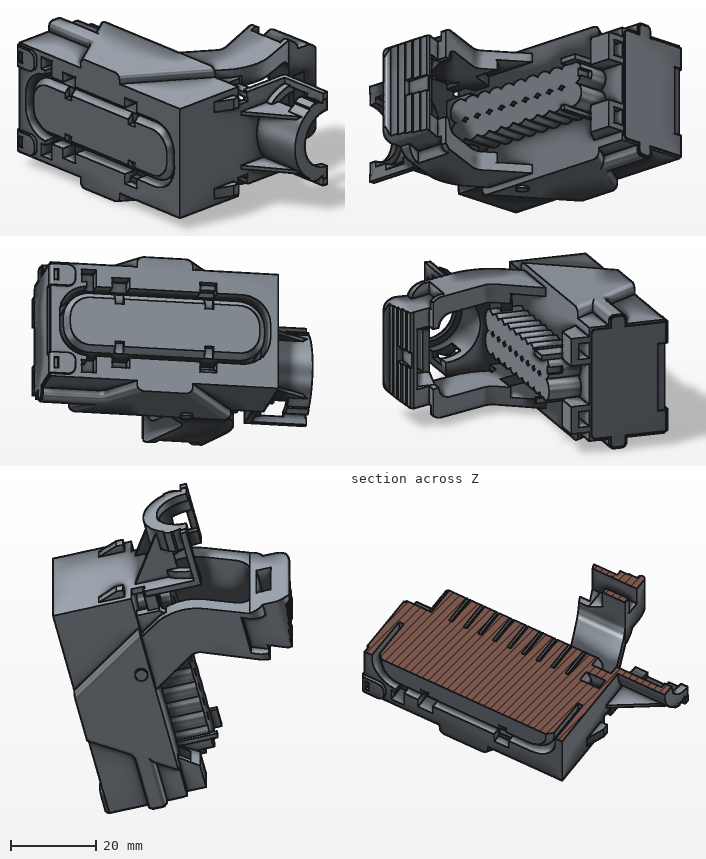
import cadquery as cq
import math


DOOR_T = 0.4
BODY_X1 = 54.95
BODY_Y = 19.0
BODY_HZ = 14.0
COVER_HZ = 16.5
COVER_R = 1.4
COVER_SLOPE = 1.5
COVER_X0, COVER_X1 = 21.15, 34.4
RIB_Y0, RIB_Y1 = 9.6, 14.1
NOTCH_X = 8.3
RIB_BEND_R = 2.7
PIVOT_D, PIVOT_X, PIVOT_Y = 3.0, 36.05, 16.7
PIVOT_END = -17.1

POCKET_CX = 27.8
POCKET_L, POCKET_H, POCKET_R = 50.5, 17.1, 6.95
POCKET_DEPTH = 12.25
ISLAND_L, ISLAND_H, ISLAND_R = 48.15, 14.55, 6.25
ISLAND_CHAMFER = 1.4
ISLAND_NOTCHES = [15.9, 37.4]
ISLAND_NOTCH_W, ISLAND_NOTCH_Z, ISLAND_NOTCH_D = 2.1, 4.6, 1.35
KEYWAY_DEPTH = 4.1
KEYWAY_Z = 11.0
KEYWAY_LEFT = (15.15, 19.3)
KEYWAY_RIGHT = (36.2, 40.2)
KEYWAY_STEP_Z, KEYWAY_STEP_DEPTH = 9.8, 2.05
HOOK_SLOT_X = (7.8, 11.35)
HOOK_SLOT_Z = (9.6, 12.65)
HOOK_NECK_X = 9.1

DOOR_HZ = 13.45
DOOR_Y0, DOOR_Y1 = 1.9, 18.4
DOOR_EAR_Y = (10.05, 13.6)
DOOR_EAR_HZ = 16.1
DOOR_R = 0.9
CLIP_T = 0.8
CLIP_L = 6.25
CLIP_Z = (8.3, 13.4)
CLIP_R = 1.85
CLIP_CORNER_R = 1.0
CLIP_HOLE_X = (1.15, 2.2)
CLIP_HOLE_Z = (9.5, 12.2)

HINGE_Z = (5.0, 11.75)
HINGE_Y = 23.5
HINGE_TOP_X, HINGE_FOOT_X = 6.3, 9.8
HINGE_HOLE_Z = (6.45, 10.35)
HINGE_HOLE_Y = 21.6
WALL_X = (6.3, 10.95)
LOWER_WALL_X = (9.85, 10.95)
WALL_Z = (5.25, 6.45)
WALL_Y = 28.75

WIRE_D = 5.7
WIRE_PITCH = 4.0
WIRE_X0, WIRE_Z = 10.7, 2.65
WIRE_END_X = 8.85
WIRE_Y = 27.0
WIRE_ROW = 10
KEY_X = 7.1
KEY_Y = 23.6
KEY_Z = (1.55, 3.4)

LEVER_HZ = 14.9
LEVER_INNER_HZ = 10.35
LEVER_THIN_HZ, LEVER_THIN_Y = 12.8, 26.0
LEVER_FOOT_Y = 13.6
GRIP_HZ = 11.9
LEVER_BAR_Y0, LEVER_BAR_Y1 = 45.15, 46.8
LEVER_X0, LEVER_X1 = 30.3, 44.9
INNER_ELBOW = [(36.85, 28.55), (37.6, 30.45), (37.25, 32.1)]
OUTER_ELBOW = [(48.55, 35.4), (49.6, 30.6), (48.1, 23.95)]
HOOK = [(31.3, LEVER_BAR_Y1), (34.0, LEVER_BAR_Y1), (32.1, 51.35)]
GRIP_TOP = 54.6
GRIP_STEPS = [(34.15, 52.3), (36.45, 52.55), (38.5, 53.0), (40.7, 53.25), (43.0, 53.45)]
GRIP_X1 = 44.8
GRIP_ROUND = 3.55
SHOULDER_Y0, SHOULDER_Y1 = 43.0, 48.35
FLANK = [(32.9, 46.8), (34.4, 43.0), (44.3, 43.0), (41.95, 48.35), (41.95, 51.7), (29.9, 51.7), (29.9, 46.8)]
INNER_R = 3.25
WINDOW_Y1 = 50.3
WINDOW_HZ, WINDOW_MOUTH_HZ = 5.4, 7.4
WINDOW_MOUTH_X = (34.7, 38.4)
THUMB_X, THUMB_Y, THUMB_HZ = 38.5, 51.8, 1.9

PLATE_X = (53.45, BODY_X1)
BRACKET_HZ = 11.8
PLATE_FOOT_HZ = 9.3
BRACKET_Y = 35.55
BRACKET_X1 = 68.0
RAIL_T = 1.4
RAIL_Z = 10.1
BORE_R, BORE_MOUTH_R = 7.2, 8.65
BORE_SHOULDER_X = 65.95
COLLAR_R = 10.5
PAD_R = 10.8
PAD_Y = (30.0, 31.8)
GROOVE_Z = 9.3
COLLAR_X1 = 67.85
RING_X = 56.8
END_RING_X = 62.6
GUSSET_Z = (6.45, 7.35)
GUSSET_Y0, GUSSET_Y1 = 20.0, 28.3
GUSSET_X1 = 67.3
TROUGH_Y1 = 30.7
PLATE_FOOT_Y = 22.2
BEAM_X, BEAM_Y = 45.55, (21.75, 24.5)
SIDE_BEAM_Z = (10.35, 11.55)
CENTRE_BEAM_HZ = 7.4
POST_FOOT_X, POST_TIP_X, POST_TOP_X, POST_X1 = 45.2, 42.15, 47.95, 49.6
POST_Y = 26.0
POST_Z = (10.35, LEVER_THIN_HZ)
LATCH_X1 = 56.8
LATCH_Z = (9.8, 12.4)
LATCH_Y = (11.15, 15.8, 17.4)

EDGE_TOL = 0.1
OVERLAP = 0.7


def box(x, y, z):
    """Box from three (low, high) ranges."""
    size = [high - low for low, high in (x, y, z)]
    return cq.Workplane("XY").box(*size, centered=False).translate((x[0], y[0], z[0]))


def prism(points, z):
    """Polygon in XY extruded over a Z range."""
    return cq.Workplane("XY").workplane(offset=z[0]).polyline(points).close().extrude(z[1] - z[0])


def both_sides(solid):
    """The solid together with its mirror image in Z."""
    return solid.union(solid.mirror("XY"))


def rounded_rect(length, height, radius, y):
    """Rounded rectangle around the pocket centre in the plane at the given Y."""
    plane = cq.Workplane("XZ", origin=(POCKET_CX, y, 0))
    return plane.sketch().rect(length, height).vertices().fillet(radius).finalize()


def cover():
    """Raised lever cover with slanted edges and a rib to the door end."""
    bend_x = COVER_X0 - RIB_Y0 / COVER_SLOPE
    notch_foot_x = NOTCH_X + (BODY_Y - RIB_Y1) / COVER_SLOPE
    points = [
        (DOOR_T, RIB_Y0),
        (bend_x, RIB_Y0),
        (COVER_X0, 0),
        (COVER_X1, 0),
        (COVER_X1 + BODY_Y / COVER_SLOPE, BODY_Y),
        (NOTCH_X, BODY_Y),
        (notch_foot_x, RIB_Y1),
        (DOOR_T, RIB_Y1),
    ]
    slab = prism(points, (0, COVER_HZ))
    bend_edge = cq.selectors.NearestToPointSelector((bend_x, RIB_Y0, COVER_HZ / 2))
    slab = slab.edges(bend_edge).fillet(RIB_BEND_R)
    rim = slab.faces(">Z").edges().filter(
        lambda e: e.Center().x > DOOR_T + EDGE_TOL and EDGE_TOL < e.Center().y < BODY_Y - EDGE_TOL
    )
    return rim.fillet(COVER_R)


def housing():
    body = box((DOOR_T, BODY_X1), (0, BODY_Y), (-BODY_HZ, BODY_HZ))
    pivot_start = -COVER_HZ + OVERLAP
    pivot = cq.Workplane("XY", origin=(PIVOT_X, PIVOT_Y, pivot_start)).circle(PIVOT_D / 2)
    return body.union(both_sides(cover())).union(pivot.extrude(PIVOT_END - pivot_start))


def pocket():
    """Ring-shaped mating pocket around a chamfered island, with its keyways."""
    hole = rounded_rect(POCKET_L, POCKET_H, POCKET_R, 0).extrude(-POCKET_DEPTH)
    island = rounded_rect(ISLAND_L, ISLAND_H, ISLAND_R, POCKET_DEPTH).extrude(POCKET_DEPTH)
    island = island.faces("<Y").chamfer(ISLAND_CHAMFER)
    for x in ISLAND_NOTCHES:
        notch = box((x, x + ISLAND_NOTCH_W), (0, ISLAND_NOTCH_D), (ISLAND_NOTCH_Z, POCKET_H / 2))
        island = island.cut(both_sides(notch))

    inner_z = POCKET_H / 2 - OVERLAP
    depth = (0, KEYWAY_DEPTH)
    keys = box(KEYWAY_LEFT, depth, (inner_z, KEYWAY_Z))
    keys = keys.union(box(KEYWAY_RIGHT, depth, (inner_z, KEYWAY_STEP_Z)))
    keys = keys.union(box(KEYWAY_RIGHT, (0, KEYWAY_STEP_DEPTH), (inner_z, KEYWAY_Z)))
    keys = keys.union(box(HOOK_SLOT_X, depth, HOOK_SLOT_Z))
    keys = keys.union(box((HOOK_NECK_X, HOOK_SLOT_X[1]), depth, (inner_z, HOOK_SLOT_Z[1])))
    return hole.cut(island).union(both_sides(keys).cut(island))


def door():
    """End door with two ears and two clips gripping the mating face."""
    panel = box((0, DOOR_T), (DOOR_Y0, DOOR_Y1), (-DOOR_HZ, DOOR_HZ))
    ears = box((0, DOOR_T), DOOR_EAR_Y, (-DOOR_EAR_HZ, DOOR_EAR_HZ))
    panel = panel.edges("|X").fillet(DOOR_R).union(ears.edges("|X").fillet(DOOR_R))
    for side in (1, -1):
        strip_z = sorted((side * CLIP_Z[0], side * DOOR_HZ))
        panel = panel.union(box((0, DOOR_T), (0, DOOR_Y0 + DOOR_R), strip_z))

    clip = box((0, CLIP_L), (-CLIP_T, 0), CLIP_Z).edges("|Y and >X").fillet(CLIP_R)
    clip = clip.union(box((0, DOOR_T), (-CLIP_T, DOOR_Y0), CLIP_Z))
    clip = clip.edges("|Z and <X and <Y").fillet(CLIP_CORNER_R)
    clip = clip.cut(box(CLIP_HOLE_X, (-CLIP_T, 0), CLIP_HOLE_Z))
    return panel.union(both_sides(clip))


def hinges():
    """Two hinge boxes with two upright walls on the wire side."""
    y0 = BODY_Y - OVERLAP
    outline = [
        (DOOR_T, y0),
        (HINGE_FOOT_X, y0),
        (HINGE_FOOT_X, BODY_Y),
        (HINGE_TOP_X, HINGE_Y),
        (DOOR_T, HINGE_Y),
    ]
    hinge = prism(outline, HINGE_Z)
    hinge = hinge.cut(box((DOOR_T, HINGE_FOOT_X), (BODY_Y, HINGE_HOLE_Y), HINGE_HOLE_Z))
    upper_wall = box(WALL_X, (y0, WALL_Y), WALL_Z)
    lower_wall = box(LOWER_WALL_X, (y0, WALL_Y), WALL_Z).mirror("XY")
    return both_sides(hinge).union(upper_wall).union(lower_wall)


def wires():
    """Two rows of merged wires with a key notch in the end wire."""
    y0 = BODY_Y - OVERLAP
    row_x = [WIRE_END_X] + [WIRE_X0 + i * WIRE_PITCH for i in range(WIRE_ROW)]
    bundle = cq.Workplane("XY")
    for z in (WIRE_Z, -WIRE_Z):
        for x in row_x:
            wire = cq.Workplane("XZ", origin=(x, y0, z)).circle(WIRE_D / 2)
            bundle = bundle.union(wire.extrude(y0 - WIRE_Y))
    return bundle.cut(box((0, KEY_X), (KEY_Y, WIRE_Y), KEY_Z))


def lever():
    """U-shaped lever: two bent arms, a cross bar and a stepped grip."""
    foot_run = (BODY_Y - LEVER_FOOT_Y) / COVER_SLOPE
    side = (
        cq.Workplane("XY", origin=(0, 0, -LEVER_HZ))
        .moveTo(LEVER_X0 - foot_run, LEVER_FOOT_Y)
        .lineTo(*INNER_ELBOW[0])
        .threePointArc(*INNER_ELBOW[1:])
        .polyline(HOOK + [(HOOK[-1][0], GRIP_STEPS[0][1])], includeCurrent=True)
    )
    step_ends = [x for x, _ in GRIP_STEPS]
    heights = [y for _, y in GRIP_STEPS]
    for x, y, next_y in zip(step_ends, heights, heights[1:]):
        side = side.lineTo(x, y).lineTo(x, next_y)
    tip_r = (GRIP_X1 - step_ends[-1]) / 2
    side = (
        side.lineTo(step_ends[-1], heights[-1])
        .lineTo(step_ends[-1], GRIP_TOP - tip_r)
        .threePointArc((GRIP_X1 - tip_r, GRIP_TOP), (GRIP_X1, GRIP_TOP - tip_r))
        .lineTo(GRIP_X1, LEVER_BAR_Y0)
        .lineTo(*OUTER_ELBOW[0])
        .threePointArc(*OUTER_ELBOW[1:])
        .lineTo(LEVER_X1 - foot_run, LEVER_FOOT_Y)
        .close()
        .extrude(2 * LEVER_HZ)
    )
    bulge = math.sqrt(0.5)
    contour = (
        cq.Workplane("YZ")
        .lineTo(0, LEVER_HZ)
        .lineTo(SHOULDER_Y0, LEVER_HZ)
        .threePointArc(
            (
                SHOULDER_Y0 + bulge * (SHOULDER_Y1 - SHOULDER_Y0),
                GRIP_HZ + bulge * (LEVER_HZ - GRIP_HZ),
            ),
            (SHOULDER_Y1, GRIP_HZ),
        )
        .lineTo(GRIP_TOP - GRIP_ROUND, GRIP_HZ)
        .radiusArc((GRIP_TOP, GRIP_HZ - GRIP_ROUND), GRIP_ROUND)
        .lineTo(GRIP_TOP, 0)
        .close()
        .extrude(BRACKET_X1)
    )
    solid = side.intersect(both_sides(contour))
    solid = solid.cut(both_sides(prism(FLANK, (GRIP_HZ, LEVER_HZ))))

    all_x = (0, BRACKET_X1)
    opening = box(all_x, (0, LEVER_BAR_Y0), (-LEVER_INNER_HZ, LEVER_INNER_HZ))
    opening = opening.edges("|X and >Y").fillet(INNER_R)
    window = box(all_x, (LEVER_BAR_Y1, WINDOW_Y1), (-WINDOW_HZ, WINDOW_HZ))
    ramp_start, ramp_end = WINDOW_MOUTH_X
    mouth = (
        cq.Workplane("XZ", origin=(0, LEVER_BAR_Y0 - OVERLAP, 0))
        .lineTo(0, WINDOW_MOUTH_HZ)
        .lineTo(ramp_start, WINDOW_MOUTH_HZ)
        .lineTo(ramp_end, WINDOW_HZ)
        .lineTo(ramp_end, 0)
        .close()
        .extrude(LEVER_BAR_Y0 - OVERLAP - WINDOW_Y1)
    )
    mouth = both_sides(mouth)
    thinning = box(all_x, (0, LEVER_THIN_Y), (-LEVER_THIN_HZ, LEVER_THIN_HZ))
    thumb_notch = box((0, THUMB_X), (THUMB_Y, GRIP_TOP), (-THUMB_HZ, THUMB_HZ))
    for gap in (opening, window, mouth, thinning, thumb_notch):
        solid = solid.cut(gap)
    return solid


def half_ring(x0, x1, radius):
    """Lower half of a disc around the cable axis between two X positions."""
    disc = cq.Workplane("YZ", origin=(x0, BRACKET_Y, 0)).circle(radius).extrude(x1 - x0)
    return disc.intersect(box((x0, x1), (0, BRACKET_Y), (-radius, radius)))


def end_ring():
    """Outer collar ring with a raised band and a slanted groove on each flank."""
    band = half_ring(END_RING_X, COLLAR_X1, PAD_R)
    band = band.intersect(box((END_RING_X, COLLAR_X1), PAD_Y, (-PAD_R, PAD_R)))
    rail_y = BRACKET_Y - RAIL_T
    groove = (
        cq.Workplane("YZ", origin=(END_RING_X, 0, 0))
        .polyline([(rail_y, GROOVE_Z), (PAD_Y[1], RAIL_Z), (rail_y, PAD_R)])
        .close()
        .extrude(COLLAR_X1 - END_RING_X)
    )
    return half_ring(END_RING_X, COLLAR_X1, COLLAR_R).union(band).cut(both_sides(groove))


def bracket():
    """Cable bracket: plate, rails, gussets and a half-round cable trough."""
    inner_x = PLATE_X[1] - OVERLAP
    solid = box(PLATE_X, (PLATE_FOOT_Y, BRACKET_Y), (-BRACKET_HZ, BRACKET_HZ))
    solid = solid.union(box(PLATE_X, (BODY_Y - OVERLAP, PLATE_FOOT_Y), (-PLATE_FOOT_HZ, PLATE_FOOT_HZ)))

    wedge = [
        (inner_x, GUSSET_Y0),
        (BODY_X1, GUSSET_Y0),
        (GUSSET_X1, GUSSET_Y1),
        (END_RING_X, GUSSET_Y1),
        (END_RING_X, TROUGH_Y1),
        (inner_x, TROUGH_Y1),
    ]
    solid = solid.union(both_sides(prism(wedge, GUSSET_Z)))
    trough = half_ring(inner_x, COLLAR_X1, COLLAR_R)
    trough = trough.intersect(box((inner_x, COLLAR_X1), (0, TROUGH_Y1), (-GUSSET_Z[1], GUSSET_Z[1])))
    solid = solid.union(trough)
    solid = solid.union(half_ring(inner_x, RING_X, COLLAR_R)).union(end_ring())

    for start, end, radius in ((PLATE_X[0], BORE_SHOULDER_X, BORE_MOUTH_R), (PLATE_X[0], BRACKET_X1, BORE_R)):
        bore = cq.Workplane("YZ", origin=(start, BRACKET_Y, 0)).circle(radius).extrude(end - start)
        solid = solid.cut(bore)

    rail = box((PLATE_X[0], BRACKET_X1), (BRACKET_Y - RAIL_T, BRACKET_Y), (RAIL_Z, BRACKET_HZ))
    return solid.union(both_sides(rail))


def beams():
    """Centre beam, side beams and their posts carrying the bracket plate."""
    run = (BEAM_X, PLATE_X[1])
    solid = box(run, BEAM_Y, (-CENTRE_BEAM_HZ, CENTRE_BEAM_HZ))
    solid = solid.union(both_sides(box(run, BEAM_Y, SIDE_BEAM_Z)))
    foot_y = BODY_Y - OVERLAP
    outline = [
        (POST_FOOT_X, foot_y),
        (POST_X1, foot_y),
        (POST_X1, BEAM_Y[1]),
        (POST_TOP_X, POST_Y),
        (POST_TIP_X, POST_Y),
    ]
    post = prism(outline, POST_Z)
    return solid.union(both_sides(post))


def latches():
    """Two wedge latches on the far end of the housing."""
    low, middle, high = LATCH_Y
    inner_x = BODY_X1 - OVERLAP
    outline = [
        (inner_x, low),
        (BODY_X1, low),
        (LATCH_X1, middle),
        (LATCH_X1, high),
        (inner_x, high),
    ]
    return both_sides(prism(outline, LATCH_Z))


result = housing()
result = result.cut(pocket())
for part in (door(), hinges(), wires(), lever(), beams(), bracket(), latches()):
    result = result.union(part)